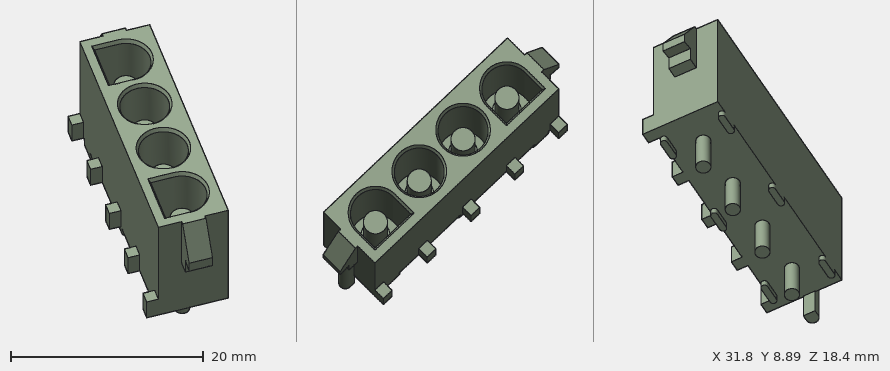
import cadquery as cq

PITCH = 6.35
CONTACT_COUNT = 4
MODULE = 1.27

BODY_LENGTH = CONTACT_COUNT * PITCH + MODULE
BODY_WIDTH = 6 * MODULE
BODY_HEIGHT = 11 * MODULE

CAVITY_SIZE = 5.18
CAVITY_DEPTH = 11.0
MOUTH_FLARE = 0.24
MOUTH_DEPTH = 0.43

COLLAR_DIAMETER = 3.0
COLLAR_HEIGHT = 1.5
PIN_DIAMETER = 2.5
PIN_RECESS = 4.0
TAIL_DIAMETER = 1.58
TAIL_LENGTH = 4.41

RIB_WIDTH = MODULE
RIB_DEPTH = MODULE
RIB_HEIGHT = 2 * MODULE

FOOT_LENGTH = 2.64
FOOT_WIDTH = 0.76
FOOT_HEIGHT = 0.76
FOOT_SPACING = 8.5 * MODULE

LATCH_WIDTH = 2 * MODULE
LATCH_REACH = 2 * MODULE
LATCH_STEM = MODULE
LATCH_TOP_REACH = 0.33
LATCH_TIP_DROP = 3 * MODULE
LATCH_HOOK_DROP = 4 * MODULE
LATCH_NOTCH_DROP = 4.8
LATCH_STEM_DROP = 6.62

PEG_WIDTH = 1.4
PEG_LENGTH = 1.37
PEG_ROUND_DEPTH = 0.61
PEG_TIP_DROP = 17.33

CONTACT_XS = [(i - (CONTACT_COUNT - 1) / 2) * PITCH for i in range(CONTACT_COUNT)]


def cylinder(diameter, x, z_bottom, z_top):
    return cq.Workplane("XY", origin=(x, 0, z_bottom)).circle(diameter / 2).extrude(z_top - z_bottom)


def make_body():
    return cq.Workplane("XY").box(BODY_LENGTH, BODY_WIDTH, BODY_HEIGHT, centered=(True, True, False))


def make_cavity(x, keyed):
    """Cavity volume with a widened mouth; a keyed cavity is squared off towards -Y."""
    floor = BODY_HEIGHT - CAVITY_DEPTH
    cavity = cylinder(CAVITY_SIZE, x, floor, BODY_HEIGHT)
    if keyed:
        half = CAVITY_SIZE / 2
        square_end = cq.Workplane("XY").box(CAVITY_SIZE, half, CAVITY_DEPTH, centered=(True, False, False))
        cavity = cavity.union(square_end.translate((x, -half, floor)))
    top_outline = cavity.faces(">Z").wires().val()
    lower_outline = top_outline.translate(cq.Vector(0, 0, -MOUTH_DEPTH))
    mouth_outline = top_outline.offset2D(MOUTH_FLARE, "intersection")[0]
    mouth = cq.Solid.makeLoft([lower_outline, mouth_outline], True)
    return cavity.union(cq.Workplane(mouth))


def make_contact(x):
    floor = BODY_HEIGHT - CAVITY_DEPTH
    collar = cylinder(COLLAR_DIAMETER, x, floor, floor + COLLAR_HEIGHT)
    pin = cylinder(PIN_DIAMETER, x, floor, BODY_HEIGHT - PIN_RECESS)
    tail = cylinder(TAIL_DIAMETER, x, -TAIL_LENGTH, floor)
    return collar.union(pin).union(tail)


def make_rib(x):
    y_front = -BODY_WIDTH / 2 - RIB_DEPTH
    rib = cq.Workplane("XY").box(RIB_WIDTH, RIB_DEPTH, RIB_HEIGHT, centered=(True, False, False))
    return rib.translate((x, y_front, 0))


def make_foot(x, side):
    y = side * (BODY_WIDTH - FOOT_WIDTH) / 2
    return cq.Workplane("XY", origin=(x, y, 0)).slot2D(FOOT_LENGTH, FOOT_WIDTH).extrude(-FOOT_HEIGHT)


def make_right_latch():
    end = BODY_LENGTH / 2
    top = BODY_HEIGHT
    profile = [
        (end, top),
        (end + LATCH_TOP_REACH, top),
        (end + LATCH_REACH, top - LATCH_TIP_DROP),
        (end + LATCH_REACH, top - LATCH_HOOK_DROP),
        (end + LATCH_STEM, top - LATCH_NOTCH_DROP),
        (end + LATCH_STEM, top - LATCH_STEM_DROP),
        (end, top - LATCH_STEM_DROP),
    ]
    return cq.Workplane("XZ").polyline(profile).close().extrude(LATCH_WIDTH / 2, both=True)


def make_peg():
    x_outer = -BODY_LENGTH / 2 - LATCH_STEM
    x_flat = x_outer + PEG_ROUND_DEPTH
    x_inner = x_outer + PEG_LENGTH
    half = PEG_WIDTH / 2
    return (
        cq.Workplane("XY", origin=(0, 0, BODY_HEIGHT - PEG_TIP_DROP))
        .moveTo(x_inner, -half)
        .lineTo(x_flat, -half)
        .threePointArc((x_outer, 0), (x_flat, half))
        .lineTo(x_inner, half)
        .close()
        .extrude(PEG_TIP_DROP - LATCH_STEM_DROP)
    )


result = make_body()

for index, contact_x in enumerate(CONTACT_XS):
    is_end = index in (0, CONTACT_COUNT - 1)
    result = result.cut(make_cavity(contact_x, is_end)).union(make_contact(contact_x))

for rib_index in range(CONTACT_COUNT + 1):
    result = result.union(make_rib((rib_index - CONTACT_COUNT / 2) * PITCH))

for foot_x in (-FOOT_SPACING, 0, FOOT_SPACING):
    for foot_side in (-1, 1):
        result = result.union(make_foot(foot_x, foot_side))

right_latch = make_right_latch()
result = result.union(right_latch).union(right_latch.mirror("YZ")).union(make_peg())